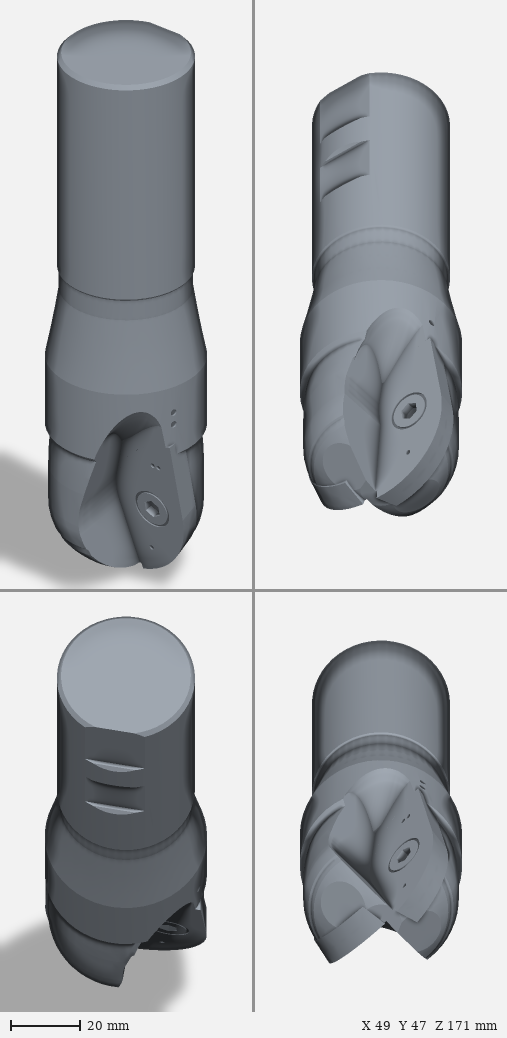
import cadquery as cq
import math


TOTAL_LENGTH = 171.0
SHANK_RADIUS = 40.0 / 2
SHANK_BOTTOM = 99.8
SHANK_CHAMFER = 1.2
NECK_RADIUS = 39.0 / 2
NECK_TOP = 99.2
NECK_BOTTOM = 92.7
COLLAR_RADIUS = 47.0 / 2
COLLAR_TOP = 70.1
COLLAR_BOTTOM = 47.4
COLLAR_CHAMFER = 1.7
FLARE_HOLLOW = 0.2
HEAD_TOP_RADIUS = 21.9
HEAD_RADIUS = 22.5
HEAD_BULGE = 0.2
HEAD_STRAIGHT_TOP = 34.0
HEAD_STRAIGHT_BOTTOM = 22.7
HEAD_CURVE_MIDDLE = (22.2, 18.8)
LEDGE_HEIGHT = 15.0
LEDGE_OUTER = 21.0
LEDGE_INNER = 20.3
LEDGE_DROP = 0.5
NOSE_EDGE = (19.5, 12.3)
NOSE_MIDDLE = (14.4, 7.2)
NOSE_FLAT = (6.0, 2.7)

FLAT_Y = 18.0
FLAT_EDGE_BEVEL = 1.0
UPPER_FLAT_BOTTOM = 150.0
LOWER_FLAT_TOP = 139.0
LOWER_FLAT_BOTTOM = 123.1

LEAN = 10.0
SEAT_PLANE = cq.Plane(
    origin=(0, 0, 0),
    xDir=(1, 0, 0),
    normal=(0, -math.cos(math.radians(LEAN)), -math.sin(math.radians(LEAN))),
)
FRONT_TURN = 0
BACK_TURN = 180

INSERT_THICKNESS = 7.9
CLEARANCE_ANGLE = 10.0
BALL_RADIUS = 49.0 / 2
SIDE_ANGLE = 2.6

FRONT_EDGE = {
    "top": 52.0,
    "crown": (8.2, 44.1),
    "shoulder": (2.0, 34.2),
    "waist": (1.0, 28.7),
    "throat": (1.62, 23.3),
    "tip": 6.5,
}
BACK_EDGE = {
    "top": 48.0,
    "crown": (9.5, 42.0),
    "shoulder": (4.3, 34.0),
    "waist": (3.8, 30.0),
    "throat": (3.8, 26.0),
    "tip": -1.5,
}

SCREW_CENTRE = (13.2, 25.5)
RING_OUTER_DIAMETER = 12.5
RING_INNER_DIAMETER = 11.0
RING_DEPTH = 0.5
SOCKET_FLATS = 5.1
SOCKET_DEPTH = 2.5
SOCKET_CONE_DEPTH = 1.4

INSERT_DIMPLE_DIAMETER = 1.5
HOLDER_DIMPLE_DIAMETER = 2.0
DIMPLE_DEPTH = 0.7
LOWER_DIMPLE = (11.0, 10.5)
UPPER_DIMPLES = [(15.7, 42.4), (17.8, 42.4)]
FRONT_HOLDER_DIMPLES = [57.6, 61.5]
BACK_HOLDER_DIMPLES = [56.8]
HOLDER_DIMPLE_Y = 6.3

GULLET_GAP = 0.7
GULLET_REACH = 51.3
GULLET_WALL_SLOPE = 0.3
GULLET_WALL_TOP = 48.2
GULLET_TOP_POINT = (20.5, 57.3)
SCOOP_RADIUS = 10.5
SCOOP_POINT = (20.2, -19.5, 53.0)
SCOOP_DIRECTION = (0.73, -0.37, 1.0)
BACK_SCOOP_DROP = 7.5
BACK_SCOOP_INSET = 2.0

RELIEF_POINT = (0.9, -7.2, 3.0)
RELIEF_SLOPE_X = -0.28
RELIEF_SLOPE_Y = -0.56
RELIEF_SIZE = 102.5


def seated(shape, turn):
    """Move a shape from seat coordinates onto the tool, turned about the tool axis."""
    return shape.moved(cq.Location(SEAT_PLANE)).rotate((0, 0, 0), (0, 0, 1), turn)


def side_edge_u(v):
    """Return u of the straight side edge, which is tangent to the ball."""
    lean = math.radians(SIDE_ANGLE)
    return BALL_RADIUS / math.cos(lean) - (v - BALL_RADIUS) * math.tan(lean)


def ball_point(angle):
    """Return the point of the cutting arc at an angle from the u axis, in degrees."""
    turn = math.radians(angle)
    return (BALL_RADIUS * math.cos(turn), BALL_RADIUS + BALL_RADIUS * math.sin(turn))


def ball_tip(edge):
    """Return the angle at which the cutting arc meets the inner edge, in degrees."""
    return -math.degrees(math.acos(edge["tip"] / BALL_RADIUS))


def make_insert_blank(edge):
    tip_angle = ball_tip(edge)
    return (
        cq.Workplane("XY")
        .moveTo(side_edge_u(edge["top"]), edge["top"])
        .threePointArc(edge["crown"], edge["shoulder"])
        .threePointArc(edge["waist"], edge["throat"])
        .lineTo(*ball_point(tip_angle))
        .threePointArc(ball_point((tip_angle + SIDE_ANGLE) / 2), ball_point(SIDE_ANGLE))
        .close()
        .extrude(-INSERT_THICKNESS, taper=CLEARANCE_ANGLE)
    )


def make_insert(edge, dimples, turn):
    ring = (
        cq.Workplane("XY")
        .center(*SCREW_CENTRE)
        .circle(RING_OUTER_DIAMETER / 2)
        .circle(RING_INNER_DIAMETER / 2)
        .extrude(-RING_DEPTH)
    )
    corner_diameter = SOCKET_FLATS / math.cos(math.radians(30))
    socket = (
        cq.Workplane("XY")
        .center(*SCREW_CENTRE)
        .transformed(rotate=(0, 0, 30))
        .polygon(6, corner_diameter)
        .extrude(-SOCKET_DEPTH)
    )
    socket_cone = cq.Solid.makeCone(
        SOCKET_FLATS / 2,
        0,
        SOCKET_CONE_DEPTH,
        cq.Vector(*SCREW_CENTRE, -SOCKET_DEPTH),
        cq.Vector(0, 0, -1),
    )
    marks = (
        cq.Workplane("XY")
        .pushPoints(dimples)
        .circle(INSERT_DIMPLE_DIAMETER / 2)
        .extrude(-DIMPLE_DEPTH)
    )
    insert = make_insert_blank(edge).cut(ring).cut(socket).cut(cq.Workplane(socket_cone)).cut(marks)
    return seated(insert.val(), turn)


def make_turned_holder():
    flare_middle = (
        (NECK_RADIUS + COLLAR_RADIUS) / 2 - FLARE_HOLLOW,
        (NECK_BOTTOM + COLLAR_TOP) / 2,
    )
    head_middle = (
        (HEAD_TOP_RADIUS + HEAD_RADIUS) / 2 + HEAD_BULGE,
        (COLLAR_BOTTOM - COLLAR_CHAMFER + HEAD_STRAIGHT_TOP) / 2,
    )
    return (
        cq.Workplane("XZ")
        .moveTo(0, TOTAL_LENGTH)
        .lineTo(SHANK_RADIUS - SHANK_CHAMFER, TOTAL_LENGTH)
        .lineTo(SHANK_RADIUS, TOTAL_LENGTH - SHANK_CHAMFER)
        .lineTo(SHANK_RADIUS, SHANK_BOTTOM)
        .lineTo(NECK_RADIUS, NECK_TOP)
        .lineTo(NECK_RADIUS, NECK_BOTTOM)
        .threePointArc(flare_middle, (COLLAR_RADIUS, COLLAR_TOP))
        .lineTo(COLLAR_RADIUS, COLLAR_BOTTOM)
        .lineTo(HEAD_TOP_RADIUS, COLLAR_BOTTOM - COLLAR_CHAMFER)
        .threePointArc(head_middle, (HEAD_RADIUS, HEAD_STRAIGHT_TOP))
        .lineTo(HEAD_RADIUS, HEAD_STRAIGHT_BOTTOM)
        .threePointArc(HEAD_CURVE_MIDDLE, (LEDGE_OUTER, LEDGE_HEIGHT))
        .lineTo(LEDGE_INNER, LEDGE_HEIGHT - LEDGE_DROP)
        .lineTo(*NOSE_EDGE)
        .threePointArc(NOSE_MIDDLE, NOSE_FLAT)
        .lineTo(0, NOSE_FLAT[1])
        .close()
        .revolve(360, (0, 0, 0), (0, 1, 0))
    )


def make_flat_cutter(bottom, top):
    """Remove the shank beyond the flat, with the rim of both end walls bevelled."""
    rim = SHANK_RADIUS - FLAT_EDGE_BEVEL
    outside = SHANK_RADIUS + FLAT_EDGE_BEVEL
    flare = outside - rim
    return (
        cq.Workplane("YZ")
        .polyline([
            (FLAT_Y, bottom),
            (rim, bottom),
            (outside, bottom - flare),
            (outside, top + flare),
            (rim, top),
            (FLAT_Y, top),
        ])
        .close()
        .extrude(SHANK_RADIUS, both=True)
    )


def gullet_wall_u(edge, v):
    """Return u of the straight gullet wall above the shoulder of the insert."""
    shoulder_u, shoulder_v = edge["shoulder"]
    return shoulder_u - GULLET_GAP + GULLET_WALL_SLOPE * (v - shoulder_v)


def start_gullet_outline(edge):
    """Draw the gullet wall from below the nose up to the shoulder of the insert."""
    tip_u, tip_v = ball_point(ball_tip(edge))
    throat_u, throat_v = edge["throat"]
    waist_u, waist_v = edge["waist"]
    shoulder_v = edge["shoulder"][1]
    slope = (throat_u - tip_u) / (throat_v - tip_v)
    return (
        cq.Workplane("XY")
        .moveTo(GULLET_REACH, tip_v - GULLET_REACH)
        .lineTo(tip_u - slope * GULLET_REACH - GULLET_GAP, tip_v - GULLET_REACH)
        .lineTo(throat_u - GULLET_GAP, throat_v)
        .threePointArc(
            (waist_u - GULLET_GAP, waist_v),
            (gullet_wall_u(edge, shoulder_v), shoulder_v),
        )
    )


def make_gullet(edge, turn, drop):
    wall_top = GULLET_WALL_TOP - drop
    top_u = GULLET_TOP_POINT[0]
    top_v = GULLET_TOP_POINT[1] - drop
    gullet = (
        start_gullet_outline(edge)
        .lineTo(gullet_wall_u(edge, wall_top), wall_top)
        .lineTo(top_u, top_v)
        .lineTo(GULLET_REACH, top_v)
        .close()
        .extrude(GULLET_REACH)
    )
    return seated(gullet.val(), turn)


def make_scoop(edge, turn, drop, inset):
    """Cut the round run-out in front of the seat, on the open side of the gullet wall."""
    direction = cq.Vector(*SCOOP_DIRECTION).normalized()
    start = cq.Vector(*SCOOP_POINT) - direction * GULLET_REACH + cq.Vector(0, inset, -drop)
    runout = cq.Solid.makeCylinder(SCOOP_RADIUS, 2 * GULLET_REACH, start, direction)
    limit_v = 2 * GULLET_REACH
    open_side = (
        start_gullet_outline(edge)
        .lineTo(gullet_wall_u(edge, limit_v), limit_v)
        .lineTo(GULLET_REACH, limit_v)
        .close()
        .extrude(GULLET_REACH)
    )
    scoop = cq.Workplane(runout).intersect(cq.Workplane(seated(open_side.val(), FRONT_TURN)))
    return scoop.val().rotate((0, 0, 0), (0, 0, 1), turn)


def make_relief(turn):
    plane = cq.Plane(RELIEF_POINT, (1, 0, RELIEF_SLOPE_X), (RELIEF_SLOPE_X, RELIEF_SLOPE_Y, -1))
    below = cq.Workplane(plane).rect(RELIEF_SIZE, RELIEF_SIZE).extrude(RELIEF_SIZE)
    return below.val().rotate((0, 0, 0), (0, 0, 1), turn)


def make_holder_dimple(height, turn):
    x = math.sqrt(COLLAR_RADIUS ** 2 - HOLDER_DIMPLE_Y ** 2)
    outward = cq.Vector(x, -HOLDER_DIMPLE_Y, 0).normalized()
    bottom = outward * (COLLAR_RADIUS - DIMPLE_DEPTH) + cq.Vector(0, 0, height)
    dimple = cq.Solid.makeCylinder(HOLDER_DIMPLE_DIAMETER / 2, 2 * DIMPLE_DEPTH, bottom, outward)
    return dimple.rotate((0, 0, 0), (0, 0, 1), turn)


front_insert = make_insert(FRONT_EDGE, [LOWER_DIMPLE, *UPPER_DIMPLES], FRONT_TURN)
back_insert = make_insert(BACK_EDGE, [LOWER_DIMPLE], BACK_TURN)

holder = make_turned_holder()
holder = holder.cut(make_flat_cutter(UPPER_FLAT_BOTTOM, TOTAL_LENGTH))
holder = holder.cut(make_flat_cutter(LOWER_FLAT_BOTTOM, LOWER_FLAT_TOP))
sides = [
    (FRONT_EDGE, FRONT_TURN, 0, 0, FRONT_HOLDER_DIMPLES),
    (BACK_EDGE, BACK_TURN, BACK_SCOOP_DROP, BACK_SCOOP_INSET, BACK_HOLDER_DIMPLES),
]
for edge, turn, scoop_drop, scoop_inset, dimple_heights in sides:
    holder = holder.cut(cq.Workplane(make_gullet(edge, turn, scoop_drop)))
    holder = holder.cut(cq.Workplane(make_scoop(edge, turn, scoop_drop, scoop_inset)))
    holder = holder.cut(cq.Workplane(make_relief(turn)))
    holder = holder.cut(cq.Workplane(seated(make_insert_blank(edge).val(), turn)))
    for height in dimple_heights:
        holder = holder.cut(cq.Workplane(make_holder_dimple(height, turn)))

result = cq.Compound.makeCompound([holder.val(), front_insert, back_insert])